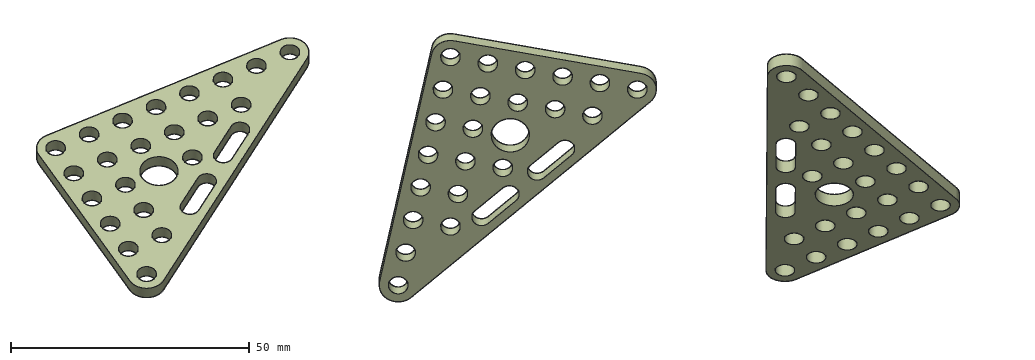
import cadquery as cq
import math

pitch = 8.0
thickness = 3.0
small_hole_diameter = 4.1
large_hole_diameter = pitch
corner_radius = pitch / 2

hole_rows = [
    range(8),
    range(6),
    (0, 1, 3),
    range(2),
    range(2),
    range(1),
]
large_hole_column = 2
large_hole_row = 2

leg_x = 5 * pitch
leg_y = 7 * pitch
hypotenuse = math.hypot(leg_x, leg_y)
hypotenuse_angle = math.degrees(math.atan2(-leg_y, leg_x))

slot_distances = (3.5 * pitch, 5.5 * pitch)
slot_length = pitch + small_hole_diameter


def make_plate():
    """Triangular plate with rounded corners concentric with the corner holes."""
    return (
        cq.Workplane("XY")
        .polyline([(0, 0), (leg_x, 0), (0, leg_y)])
        .close()
        .offset2D(corner_radius)
        .extrude(thickness)
    )


def make_round_holes():
    """Grid of small through holes and one large through hole."""
    centers = [
        (column * pitch, row * pitch)
        for column, rows in enumerate(hole_rows)
        for row in rows
    ]
    small_holes = (
        cq.Workplane("XY").pushPoints(centers).circle(small_hole_diameter / 2).extrude(thickness)
    )
    large_hole = (
        cq.Workplane("XY")
        .center(large_hole_column * pitch, large_hole_row * pitch)
        .circle(large_hole_diameter / 2)
        .extrude(thickness)
    )
    return small_holes.union(large_hole)


def make_slots():
    """Through slots running parallel to the sloping edge."""
    centers = [
        (leg_x * distance / hypotenuse, leg_y * (1 - distance / hypotenuse))
        for distance in slot_distances
    ]
    return (
        cq.Workplane("XY")
        .pushPoints(centers)
        .slot2D(slot_length, small_hole_diameter, hypotenuse_angle)
        .extrude(thickness)
    )


result = make_plate().cut(make_round_holes()).cut(make_slots())